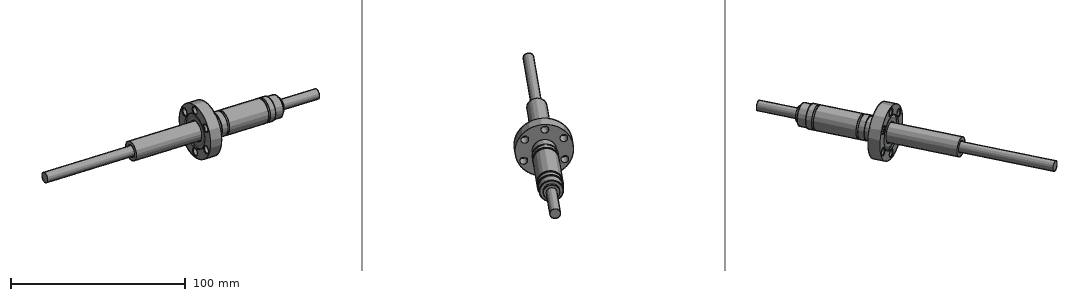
import cadquery as cq
import math

TOTAL_LENGTH = 184.2

ROD_RADIUS = 3.1
ROD_FRONT_Y = -101.7

TUBE_RADIUS = 5.9
TUBE_BORE_RADIUS = 3.7
TUBE_LENGTH = 43.3

FLANGE_DIAMETER = 33.7
FLANGE_RADIUS = FLANGE_DIAMETER / 2
FLANGE_THICKNESS = 7.5

BOLT_HOLE_ANGLES = (33.5, 91.5, 146.5, 208.5, 270.0, 331.5)
BOLT_CIRCLE_RADIUS = 13.5
BOLT_HOLE_RADIUS = 2.2
BOLT_HOLE_CHAMFER = 0.4

RECESS_RADIUS = 10.7
RECESS_DEPTH = 1.1
KNIFE_RADIUS = 8.7
KNIFE_DEPTH = 0.5
INNER_RECESS_RADIUS = 6.5
INNER_RECESS_DEPTH = 1.8

NECK_RADIUS = 7.0
NECK_LENGTH = 6.3
BODY_RADIUS = 7.5
BAND_WIDTH = 3.9
GROOVE_RADIUS = 7.4
GROOVE_WIDTH = 1.1
SLEEVE_LENGTH = 26.5
CAP_RADIUS = NECK_RADIUS
CAP_LENGTH = 5.5
COLLAR_RADIUS = 4.8
COLLAR_LENGTH = 1.7
REAR_EDGE_CHAMFER = 0.4


def cylinder(radius, start_y, length):
    """Solid cylinder on the Y axis from start_y towards +Y."""
    return cq.Workplane("XZ", origin=(0, start_y, 0)).circle(radius).extrude(-length)


def make_rod():
    return cylinder(ROD_RADIUS, ROD_FRONT_Y, TOTAL_LENGTH)


def make_tube():
    """Tube open at the front, with its bore ending level with the flange's front face."""
    tube = cylinder(TUBE_RADIUS, -TUBE_LENGTH, TUBE_LENGTH + FLANGE_THICKNESS)
    return tube.cut(cylinder(TUBE_BORE_RADIUS, -TUBE_LENGTH, TUBE_LENGTH))


def make_bolt_hole_cutter():
    """Through hole with a chamfered mouth at the flange's front face."""
    mouth_radius = BOLT_HOLE_RADIUS + BOLT_HOLE_CHAMFER
    half_section = [
        (0, 0),
        (mouth_radius, 0),
        (BOLT_HOLE_RADIUS, BOLT_HOLE_CHAMFER),
        (BOLT_HOLE_RADIUS, FLANGE_THICKNESS),
        (0, FLANGE_THICKNESS),
    ]
    return cq.Workplane("XY").polyline(half_section).close().revolve(360, (0, 0), (0, 1))


def make_flange():
    """Flange whose front face carries the recess and knife edge, with the bolt holes cut through."""
    half_section = [
        (0, FLANGE_THICKNESS),
        (FLANGE_RADIUS, FLANGE_THICKNESS),
        (FLANGE_RADIUS, 0),
        (RECESS_RADIUS, 0),
        (RECESS_RADIUS, RECESS_DEPTH),
        (KNIFE_RADIUS, KNIFE_DEPTH),
        (INNER_RECESS_RADIUS, KNIFE_DEPTH),
        (INNER_RECESS_RADIUS, INNER_RECESS_DEPTH),
        (0, INNER_RECESS_DEPTH),
    ]
    flange = cq.Workplane("XY").polyline(half_section).close().revolve(360, (0, 0), (0, 1))
    cutter = make_bolt_hole_cutter()
    for angle in BOLT_HOLE_ANGLES:
        x = BOLT_CIRCLE_RADIUS * math.cos(math.radians(angle))
        z = BOLT_CIRCLE_RADIUS * math.sin(math.radians(angle))
        flange = flange.cut(cutter.translate((x, 0, z)))
    return flange


def make_rear_body():
    """Stepped rear body, stacked section by section from the flange's rear face."""
    sections = [
        (NECK_RADIUS, NECK_LENGTH, 0),
        (BODY_RADIUS, BAND_WIDTH, 0),
        (GROOVE_RADIUS, GROOVE_WIDTH, 0),
        (BODY_RADIUS, SLEEVE_LENGTH, 0),
        (GROOVE_RADIUS, GROOVE_WIDTH, 0),
        (BODY_RADIUS, BAND_WIDTH, REAR_EDGE_CHAMFER),
        (CAP_RADIUS, CAP_LENGTH, REAR_EDGE_CHAMFER),
        (COLLAR_RADIUS, COLLAR_LENGTH, 0),
    ]
    body = cq.Workplane("XZ")
    start_y = FLANGE_THICKNESS
    for radius, length, chamfer in sections:
        section = cylinder(radius, start_y, length)
        if chamfer:
            section = section.faces(">Y").edges().chamfer(chamfer)
        body = body.add(section)
        start_y += length
    return body.combine()


result = make_flange().union(make_tube()).union(make_rod()).union(make_rear_body())